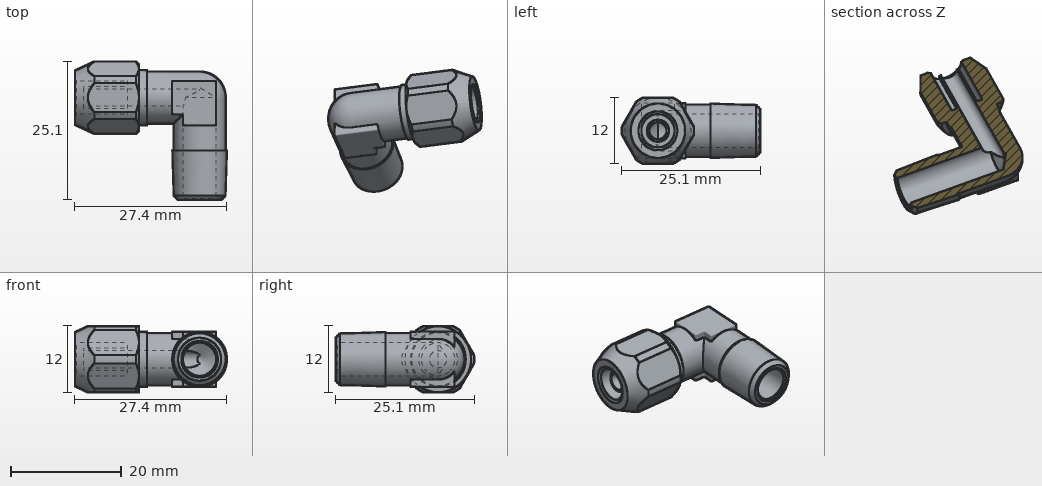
import cadquery as cq
import math


tube_leg_length = 22.5
thread_leg_length = 18.5
pipe_radius = 4.75

collar_radius = 5.0
collar_end = 9.5

nut_length = 11.6
nut_sides = 6
nut_across_flats = 12.0
nut_corner_radius = 6.55
nut_nose_length = 3.5
nut_nose_angle = 25.0
nut_rear_chamfer = 0.6
nut_mouth_radius = 3.5
nut_mouth_depth = 0.3

socket_radius = 3.0
socket_depth = 9.5
sleeve_radius = 2.0
sleeve_recess = 1.5
sleeve_nose_fillet = 0.25
sleeve_root_fillet = 0.28
sleeve_bore_radius = 1.55

thread_start = 9.5
thread_start_radius = 4.95
thread_taper = 1 / 16
thread_end_chamfer = 0.8

thread_bore_radius = 3.0
thread_mouth_chamfer = 0.3
drill_point_angle = 118.0

pad_height = 10.0
pad_outer = 3.0
pad_inner = 5.0
pad_notch = 3.0
pad_fillet = 0.25


def revolve_about_x(profile):
    return profile.close().revolve(360, (0, 0, 0), (1, 0, 0))


def revolve_about_y(profile):
    return profile.close().revolve(360, (0, 0, 0), (0, 1, 0))


def make_pipes():
    pipe_length = tube_leg_length - nut_length
    tube_leg = cq.Workplane("YZ").circle(pipe_radius).extrude(-pipe_length)
    thread_leg = cq.Workplane("XZ").circle(pipe_radius).extrude(thread_start)
    outer_corner = cq.Workplane("XY").sphere(pipe_radius)
    return tube_leg.union(thread_leg).union(outer_corner)


def make_collar():
    nut_rear = tube_leg_length - nut_length
    collar_length = nut_rear - collar_end
    return cq.Workplane("YZ").workplane(offset=-nut_rear).circle(collar_radius).extrude(collar_length)


def make_wrench_pads():
    block = (
        cq.Workplane("XY")
        .workplane(offset=-pad_height / 2)
        .moveTo(pad_outer, pad_outer)
        .lineTo(-pad_inner, pad_outer)
        .lineTo(-pad_inner, -pad_notch)
        .lineTo(-pad_notch, -pad_notch)
        .lineTo(-pad_notch, -pad_inner)
        .lineTo(pad_outer, -pad_inner)
        .close()
        .extrude(pad_height)
    )
    return block.edges("|Z").fillet(pad_fillet).faces("<Z or >Z").edges().fillet(pad_fillet)


def make_thread():
    tapered_length = thread_leg_length - thread_end_chamfer - thread_start
    small_radius = thread_start_radius - tapered_length * thread_taper / 2
    return revolve_about_y(
        cq.Workplane("XY")
        .moveTo(0, -thread_start)
        .lineTo(thread_start_radius, -thread_start)
        .lineTo(small_radius, -thread_leg_length + thread_end_chamfer)
        .lineTo(small_radius - thread_end_chamfer, -thread_leg_length)
        .lineTo(0, -thread_leg_length)
    )


def make_nut():
    front = -tube_leg_length
    rear = front + nut_length
    face_radius = nut_corner_radius - nut_nose_length * math.tan(math.radians(nut_nose_angle))
    across_corners = nut_across_flats / math.cos(math.pi / nut_sides)
    hexagon = cq.Workplane("YZ").workplane(offset=front).polygon(nut_sides, across_corners).extrude(nut_length)
    turned_envelope = revolve_about_x(
        cq.Workplane("XY")
        .moveTo(front, 0)
        .lineTo(front, face_radius)
        .lineTo(front + nut_nose_length, nut_corner_radius)
        .lineTo(rear - nut_rear_chamfer, nut_corner_radius)
        .lineTo(rear, nut_corner_radius - nut_rear_chamfer)
        .lineTo(rear, 0)
    )
    return hexagon.intersect(turned_envelope)


def make_socket():
    """Ring-shaped cavity around the sleeve, open at the nut face."""
    front = -tube_leg_length
    floor = front + socket_depth
    sleeve_end = front + sleeve_recess
    sleeve_end_radius = sleeve_radius - sleeve_nose_fillet
    return revolve_about_x(
        cq.Workplane("XY")
        .moveTo(front, 0)
        .lineTo(front, nut_mouth_radius)
        .lineTo(front + nut_mouth_depth, socket_radius)
        .lineTo(floor, socket_radius)
        .lineTo(floor, sleeve_radius + sleeve_root_fillet)
        .tangentArcPoint((floor - sleeve_root_fillet, sleeve_radius), relative=False)
        .lineTo(sleeve_end + sleeve_nose_fillet, sleeve_radius)
        .tangentArcPoint((sleeve_end, sleeve_end_radius), relative=False)
        .lineTo(sleeve_end, 0)
    )


def make_sleeve_bore():
    return cq.Workplane("YZ").circle(sleeve_bore_radius).extrude(-tube_leg_length)


def make_thread_bore():
    """Drilled bore that reaches full diameter down to the tube axis, then ends in the drill point."""
    point_length = thread_bore_radius / math.tan(math.radians(drill_point_angle / 2))
    return revolve_about_y(
        cq.Workplane("XY")
        .moveTo(0, point_length)
        .lineTo(thread_bore_radius, 0)
        .lineTo(thread_bore_radius, -thread_leg_length + thread_mouth_chamfer)
        .lineTo(thread_bore_radius + thread_mouth_chamfer, -thread_leg_length)
        .lineTo(0, -thread_leg_length)
    )


body = make_pipes().union(make_collar()).union(make_wrench_pads()).union(make_thread()).union(make_nut())
result = body.cut(make_socket()).cut(make_sleeve_bore()).cut(make_thread_bore())